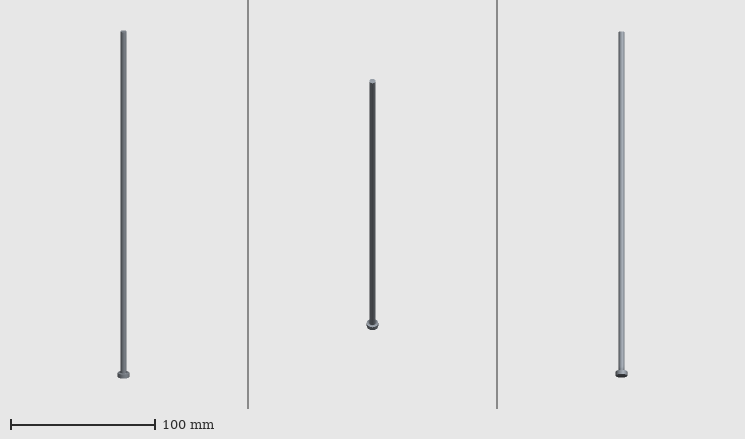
import cadquery as cq

head_diameter = 8.0
head_height = 3.0
shaft_diameter = 4.2
shaft_length = 250.0
neck_fillet_radius = 0.2


def make_head():
    """Flat round head resting on the XY plane."""
    return cq.Workplane("XY").circle(head_diameter / 2).extrude(head_height)


def add_shaft(head):
    """Plain cylinder rising from the centre of the head."""
    return head.faces(">Z").workplane().circle(shaft_diameter / 2).extrude(shaft_length)


def round_neck(pin):
    """Fillet the inner corner where the shaft meets the head."""
    smallest_circles = cq.selectors.RadiusNthSelector(0)
    neck_edge = pin.edges(smallest_circles).edges("<Z")
    return neck_edge.fillet(neck_fillet_radius)


result = round_neck(add_shaft(make_head()))